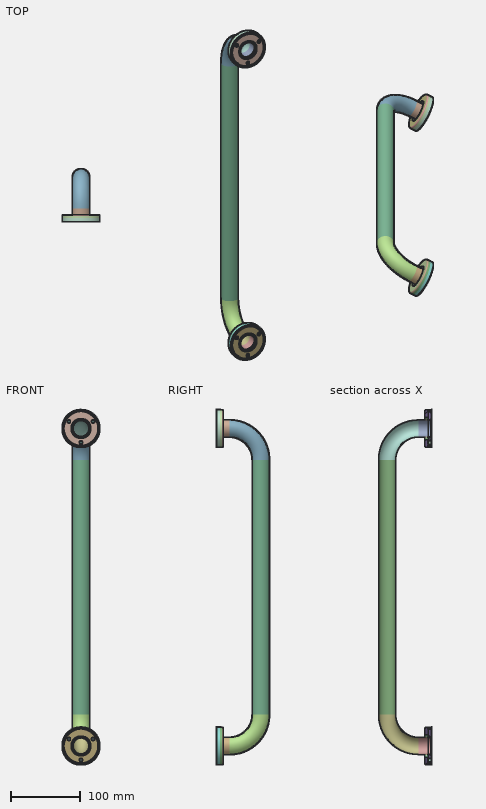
import cadquery as cq
import math

tube_diameter = 25.4
tube_wall = 1.2
mount_spacing = 456.0
axis_standoff = 64.0
bend_radius = 45.0

plate_diameter = 49.0
plate_thickness = 5.3
bore_chamfer = 1.5
screw_circle_radius = 20.0
screw_hole_diameter = 4.5
screw_count = 3
first_screw_angle = 30.0

cover_diameter = 54.62
cover_cavity_diameter = 50.2
cover_hole_diameter = 31.75
cover_height = 10.2
cover_straight_height = plate_thickness
cover_draft_angle = 2.0
cover_edge_radius = 2.0

end_z = mount_spacing / 2


def disc(height, diameter, thickness):
    """Disc around a mount axis, reaching from the wall (y = 0) towards +Y."""
    return cq.Workplane("XZ", origin=(0, 0, height)).circle(diameter / 2).extrude(-thickness)


def make_tube():
    """Tube with a straight run, two quarter bends and two ends that reach the wall."""
    bend_y = axis_standoff - bend_radius
    bend_z = end_z - bend_radius
    path = (
        cq.Workplane("YZ")
        .moveTo(0, -end_z)
        .lineTo(bend_y, -end_z)
        .radiusArc((axis_standoff, -bend_z), -bend_radius)
        .lineTo(axis_standoff, bend_z)
        .radiusArc((bend_y, end_z), -bend_radius)
        .lineTo(0, end_z)
    )
    outer_radius = tube_diameter / 2
    section = cq.Workplane("XZ", origin=(0, 0, -end_z)).circle(outer_radius).circle(outer_radius - tube_wall)
    return section.sweep(path)


def make_plate(height):
    """Round plate around the tube end, with a chamfered bore and screw holes."""
    screw_holes = (
        cq.Workplane("XZ", origin=(0, 0, height))
        .polarArray(screw_circle_radius, first_screw_angle, 360, screw_count)
        .circle(screw_hole_diameter / 2)
        .extrude(-plate_thickness)
    )
    bore_countersink = (
        cq.Workplane("XZ", origin=(0, 0, height))
        .circle(tube_diameter / 2 + bore_chamfer)
        .extrude(-bore_chamfer, taper=45)
    )
    return (
        disc(height, plate_diameter, plate_thickness)
        .cut(disc(height, tube_diameter, plate_thickness))
        .cut(bore_countersink)
        .cut(screw_holes)
    )


def make_cover(height):
    """Cup over the plate: straight rim, slightly tapered side, rounded edge and a hole for the tube."""
    rim_radius = cover_diameter / 2
    taper = (cover_height - cover_straight_height) * math.tan(math.radians(cover_draft_angle))
    body = (
        cq.Workplane("XY", origin=(0, 0, height))
        .polyline([
            (0, 0),
            (rim_radius, 0),
            (rim_radius, cover_straight_height),
            (rim_radius - taper, cover_height),
            (0, cover_height),
        ])
        .close()
        .revolve(360, (0, 0, 0), (0, 1, 0))
        .faces(">Y")
        .edges()
        .fillet(cover_edge_radius)
    )
    cavity = disc(height, cover_cavity_diameter, plate_thickness)
    return body.cut(cavity).cut(disc(height, cover_hole_diameter, cover_height))


bodies = [make_tube().val()]
for mount_height in (-end_z, end_z):
    bodies.append(make_plate(mount_height).val())
    bodies.append(make_cover(mount_height).val())

result = cq.Compound.makeCompound(bodies)